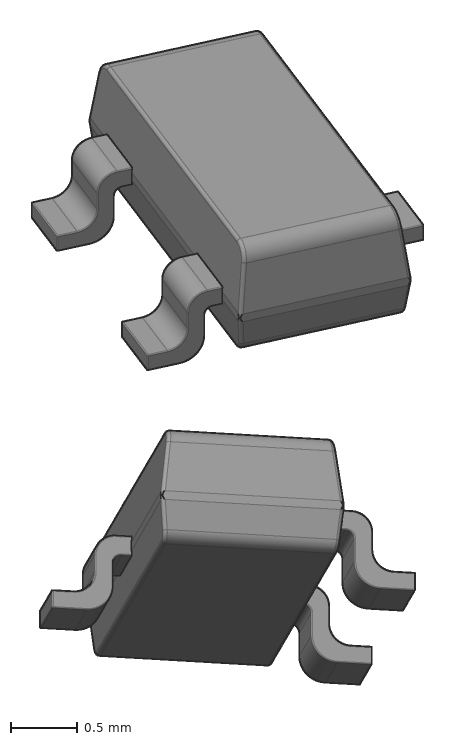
import cadquery as cq


body_length = 3.0
body_width = 1.4
body_bottom = 0.185
belt_bottom = 0.492
belt_top = 0.56
body_top = 1.1
top_inset_x = 0.075
top_inset_y = 0.065
bottom_inset_x = 0.057
bottom_inset_y = 0.03
top_end_radius = 0.15
bottom_end_radius = 0.1
rim_radius = 0.03
taper_overrun = 2.5

lead_span = 2.62
lead_width = 0.51
lead_pitch = 1.8
lead_edge_radius = 0.01
foot_thickness = 0.14
shank_thickness = 0.14
arm_top = 0.603
arm_thickness = 0.153
shank_offset = 0.327
bend_radius = 0.162
heel_radius = 0.2
arm_inner_radius = 0.065
lead_embed = 0.15


def trapezoid_prism(plane, belt_level, end_level, belt_size, inset):
    """Long prism, symmetric about the plane, with sloping sides leaning in by inset at end_level."""
    height = end_level - belt_level
    far_level = belt_level - taper_overrun * height
    far_half = belt_size / 2 + taper_overrun * inset
    end_half = belt_size / 2 - inset
    return (
        cq.Workplane(plane)
        .polyline([
            (-far_half, far_level),
            (far_half, far_level),
            (end_half, end_level),
            (-end_half, end_level),
        ])
        .close()
        .extrude(body_length, both=True)
    )


def tapered_block(belt_level, end_level, inset_x, inset_y, end_radius):
    """Tapered block with rounded edges, reaching from end_level to well past the belt.

    Its flat sides pass through the belt outline at belt_level.
    """
    points_up = end_level > belt_level
    end_face = ">Z" if points_up else "<Z"
    far_face = "<Z" if points_up else ">Z"
    along_y = trapezoid_prism("XZ", belt_level, end_level, body_length, inset_x)
    along_x = trapezoid_prism("YZ", belt_level, end_level, body_width, inset_y)
    block = along_y.intersect(along_x)
    block = block.faces(end_face).edges("|Y").fillet(end_radius)
    return block.edges("not |Y").edges(f"not({far_face})").fillet(rim_radius)


def make_body():
    """Overlap of the two tapered blocks, trimmed to the belt outline."""
    upper = tapered_block(belt_top, body_top, top_inset_x, top_inset_y, top_end_radius)
    lower = tapered_block(belt_bottom, body_bottom, bottom_inset_x, bottom_inset_y, bottom_end_radius)
    belt_prism = cq.Workplane("XY").box(body_length, body_width, 3 * body_top)
    return upper.intersect(lower).intersect(belt_prism)


def make_lead():
    """Lead centred on X = 0, on the -Y side of the body."""
    tip = -lead_span / 2
    shank_outer = tip + shank_offset
    shank_inner = shank_outer + shank_thickness
    root = -body_width / 2 + lead_embed
    arm_bottom = arm_top - arm_thickness
    return (
        cq.Workplane("YZ", origin=(-lead_width / 2, 0, 0))
        .moveTo(tip, 0)
        .lineTo(shank_inner - heel_radius, 0)
        .radiusArc((shank_inner, heel_radius), -heel_radius)
        .lineTo(shank_inner, arm_bottom - arm_inner_radius)
        .radiusArc((shank_inner + arm_inner_radius, arm_bottom), arm_inner_radius)
        .lineTo(root, arm_bottom)
        .lineTo(root, arm_top)
        .lineTo(shank_outer + bend_radius, arm_top)
        .radiusArc((shank_outer, arm_top - bend_radius), -bend_radius)
        .lineTo(shank_outer, foot_thickness + bend_radius)
        .radiusArc((shank_outer - bend_radius, foot_thickness), bend_radius)
        .lineTo(tip, foot_thickness)
        .close()
        .extrude(lead_width)
        .faces("<X or >X or <Y")
        .edges()
        .fillet(lead_edge_radius)
    )


lead = make_lead()
result = make_body().union(lead.rotate((0, 0, 0), (0, 0, 1), 180))
for side in (-1, 1):
    result = result.union(lead.translate((side * lead_pitch / 2, 0, 0)))